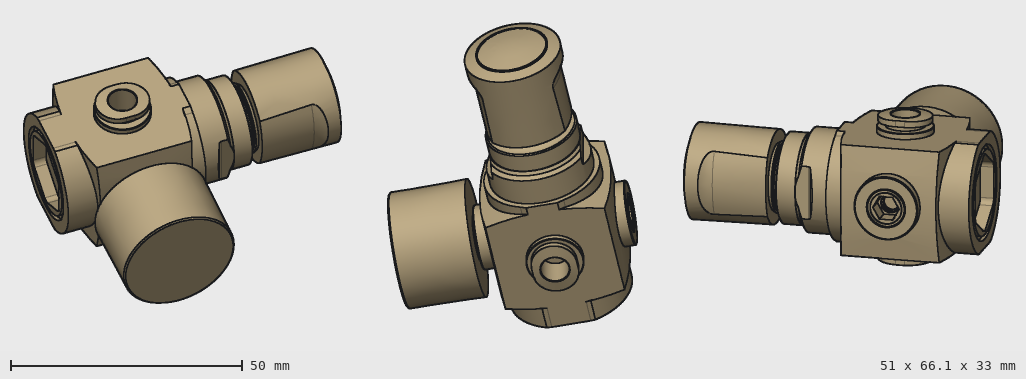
import cadquery as cq
import math


BLOCK_HALF_HEIGHT = 12.5
BLOCK_SIDE_X = 14.5
BLOCK_CORNER_X = 13.1
BLOCK_CORNER_Y = 10.6
BLOCK_END_Y = 12.7

FRONT_Y = -17.65
REAR_Y = 14.4
FRONT_COLLAR_RADIUS = 13.5
FRONT_FLAT_HALF_WIDTH = 4.3
FRONT_SHOULDER_HALF_WIDTH = 5.35
REAR_COLLAR_RADIUS = 12.75
REAR_FLAT_HALF_WIDTH = 3.45
REAR_SHOULDER_HALF_WIDTH = 4.75

FRONT_HEX_FLATS = 15.5
FRONT_HEX_CORNER_RADIUS = 1.65
FRONT_HEX_DEPTH = 3.0
FRONT_HEX_TURN = 30
RING_INNER_DIAMETER = 19.0
RING_OUTER_DIAMETER = 21.0
RING_DEPTH = 1.0

BONNET_RADIUS = 11.5
BONNET_STEP_RADIUS = 9.9
BONNET_CAP_RADIUS = 10.05
BONNET_CONE_START_Y = 20.55
BONNET_BEND_RADIUS = 10.5
BONNET_BEND_Y = 21.2
BONNET_CONE_END_Y = 22.0
BONNET_CAP_Y = 26.2
BONNET_FLAT_X = 9.85
BONNET_FLAT_START_Y = 19.05
BONNET_FLAT_STEP_X = 10.0
BONNET_FLAT_STEP_Y = 18.6
BONNET_FLAT_RUNOUT = 0.8
SHOULDER_RADIUS = 9.65
SHOULDER_Y = 26.4
SHOULDER_CURVE_RADIUS = 8.3
SHOULDER_CURVE_Y = 26.65
NECK_RADIUS = 7.6
NECK_START_Y = 27.25
NECK_GROOVE_RADIUS = 7.4
NECK_GROOVE_START_Y = 27.35
NECK_GROOVE_END_Y = 27.7
NECK_BEAD_RADIUS = 7.85
NECK_BEAD_Y = 27.9
NECK_TOP_RADIUS = 7.4

KNOB_START_Y = 28.7
KNOB_END_Y = 48.45
KNOB_RIM_Y = 46.55
KNOB_RADIUS = 10.6
KNOB_SKIRT_RADIUS = 10.4
KNOB_STRAIGHT_START_Y = 40.65
DOME_GROOVE_RADIUS = 7.75
DOME_GROOVE_WIDTH = 0.25
DOME_GROOVE_DEPTH = 0.2
GRIP_X = 9.45
GRIP_RADIUS = 15.65
GRIP_RUNOUT_RADIUS = 4.4
GRIP_CUT_WIDTH = 2.65

BOSS_RADIUS = 7.1
BOSS_END_X = 16.7
BOSS_CHAMFER = 0.2
PLUG_GROOVE_OUTER_DIAMETER = 8.6
PLUG_GROOVE_INNER_DIAMETER = 8.25
PLUG_GROOVE_DEPTH = 0.3
PLUG_DISH_DIAMETER = 7.0
PLUG_DISH_DEPTH = 0.2
PLUG_HEX_FLATS = 5.1
PLUG_HEX_DEPTH = 3.95
PLUG_BORE_DIAMETER = 4.2
PLUG_BORE_DEPTH = 4.6
PLUG_PILOT_DIAMETER = 3.45
PLUG_PILOT_DEPTH = 5.3

FITTING_TOP_Z = 16.5
FITTING_FLANGE_RADIUS = 6.2
FITTING_FLANGE_TOP_Z = 13.8
FITTING_FLANGE_CHAMFER = 0.1
FITTING_STEM_RADIUS = 4.3
RELEASE_RING_BOTTOM_Z = 14.9
RELEASE_RING_EDGE_Z = 16.1
RELEASE_RING_END_RADIUS = 4.95
RELEASE_RING_LENGTH = 11.9
TUBE_HOLE_DIAMETER = 6.2
TUBE_HOLE_MOUTH_DIAMETER = 6.5
TUBE_HOLE_DEPTH = 6.6

GAUGE_STEM_DIAMETER = 9.7
GAUGE_START_X = 17.25
GAUGE_END_X = 34.3
GAUGE_BACK_RADIUS = 12.95
GAUGE_FACE_RADIUS = 12.75
GAUGE_CHAMFER = 0.3


def turned_about_x(points):
    """Solid of revolution about the X axis from (x, radius) points."""
    return cq.Workplane("XY").polyline(points).close().revolve(360, (0, 0), (1, 0))


def turned_about_z(points):
    """Solid of revolution about the Z axis from (radius, z) points."""
    return cq.Workplane("XZ").polyline(points).close().revolve(360, (0, 0), (0, 1))


def hexagon_diameter(across_flats):
    return across_flats / math.cos(math.pi / 6)


def make_block():
    """Cube-like core with outward-bulged ends and sides and flat top and bottom."""
    end_bulge = (
        cq.Workplane("XY")
        .workplane(offset=-BLOCK_HALF_HEIGHT)
        .moveTo(-BLOCK_SIDE_X, -BLOCK_CORNER_Y)
        .threePointArc((0, -BLOCK_END_Y), (BLOCK_SIDE_X, -BLOCK_CORNER_Y))
        .lineTo(BLOCK_SIDE_X, BLOCK_CORNER_Y)
        .threePointArc((0, BLOCK_END_Y), (-BLOCK_SIDE_X, BLOCK_CORNER_Y))
        .close()
        .extrude(2 * BLOCK_HALF_HEIGHT)
    )
    side_bulge = (
        cq.Workplane("XZ")
        .moveTo(-BLOCK_CORNER_X, BLOCK_HALF_HEIGHT)
        .lineTo(BLOCK_CORNER_X, BLOCK_HALF_HEIGHT)
        .threePointArc((BLOCK_SIDE_X, 0), (BLOCK_CORNER_X, -BLOCK_HALF_HEIGHT))
        .lineTo(-BLOCK_CORNER_X, -BLOCK_HALF_HEIGHT)
        .threePointArc((-BLOCK_SIDE_X, 0), (-BLOCK_CORNER_X, BLOCK_HALF_HEIGHT))
        .close()
        .extrude(BLOCK_END_Y, both=True)
    )
    return end_bulge.intersect(side_bulge)


def make_collar(radius, flat_half_width, shoulder_half_width, end_y):
    """Round collar with a bevelled flat on top and bottom, from the block centre to end_y."""
    flat_z = BLOCK_HALF_HEIGHT
    shoulder_z = math.sqrt(radius**2 - shoulder_half_width**2)
    return (
        cq.Workplane("XZ")
        .moveTo(-flat_half_width, flat_z)
        .lineTo(flat_half_width, flat_z)
        .lineTo(shoulder_half_width, shoulder_z)
        .threePointArc((radius, 0), (shoulder_half_width, -shoulder_z))
        .lineTo(flat_half_width, -flat_z)
        .lineTo(-flat_half_width, -flat_z)
        .lineTo(-shoulder_half_width, -shoulder_z)
        .threePointArc((-radius, 0), (-shoulder_half_width, shoulder_z))
        .close()
        .extrude(-end_y)
    )


def cut_front_recess(body):
    """Round-cornered hexagon pocket with a ring groove around it."""
    front = cq.Workplane("XZ", origin=(0, FRONT_Y, 0))
    pocket = (
        front.polygon(6, hexagon_diameter(FRONT_HEX_FLATS))
        .extrude(-FRONT_HEX_DEPTH)
        .edges("|Y")
        .fillet(FRONT_HEX_CORNER_RADIUS)
        .rotate((0, 0, 0), (0, 1, 0), FRONT_HEX_TURN)
    )
    groove = front.circle(RING_OUTER_DIAMETER / 2).circle(RING_INNER_DIAMETER / 2).extrude(-RING_DEPTH)
    return body.cut(pocket).cut(groove)


def make_bonnet():
    """Stepped bonnet with two wrench flats and a necked end."""
    bonnet = (
        cq.Workplane("XY")
        .lineTo(BONNET_RADIUS, 0)
        .lineTo(BONNET_RADIUS, BONNET_CONE_START_Y)
        .lineTo(BONNET_BEND_RADIUS, BONNET_BEND_Y)
        .lineTo(BONNET_STEP_RADIUS, BONNET_CONE_END_Y)
        .lineTo(BONNET_CAP_RADIUS, BONNET_CONE_END_Y)
        .lineTo(BONNET_CAP_RADIUS, BONNET_CAP_Y)
        .lineTo(SHOULDER_RADIUS, SHOULDER_Y)
        .threePointArc((SHOULDER_CURVE_RADIUS, SHOULDER_CURVE_Y), (NECK_RADIUS, NECK_START_Y))
        .lineTo(NECK_GROOVE_RADIUS, NECK_GROOVE_START_Y)
        .lineTo(NECK_GROOVE_RADIUS, NECK_GROOVE_END_Y)
        .lineTo(NECK_BEAD_RADIUS, NECK_BEAD_Y)
        .lineTo(NECK_TOP_RADIUS, KNOB_START_Y)
        .lineTo(0, KNOB_START_Y)
        .close()
        .revolve(360, (0, 0), (0, 1))
    )
    for side in (-1, 1):
        wrench_flat = (
            cq.Workplane("XY")
            .workplane(offset=-BONNET_RADIUS)
            .polyline([
                (side * BONNET_FLAT_X, BONNET_CONE_END_Y),
                (side * BONNET_FLAT_X, BONNET_FLAT_START_Y),
                (side * BONNET_FLAT_STEP_X, BONNET_FLAT_STEP_Y),
                (side * BONNET_RADIUS, BONNET_FLAT_STEP_Y - BONNET_FLAT_RUNOUT),
                (side * BONNET_RADIUS, BONNET_CONE_END_Y),
            ])
            .close()
            .extrude(2 * BONNET_RADIUS)
        )
        bonnet = bonnet.cut(wrench_flat)
    return bonnet


def make_side_bosses():
    """Round bosses on both ends of the X axis."""
    bosses = cq.Workplane("YZ").circle(BOSS_RADIUS).extrude(BOSS_END_X, both=True)
    return bosses.faces("<X or >X").chamfer(BOSS_CHAMFER)


def cut_plug_socket(body):
    """Hexagon socket, dished rim and seam groove in the boss on the -X side."""
    face = cq.Workplane("YZ", origin=(-BOSS_END_X, 0, 0))
    groove = (
        face.circle(PLUG_GROOVE_OUTER_DIAMETER / 2)
        .circle(PLUG_GROOVE_INNER_DIAMETER / 2)
        .extrude(PLUG_GROOVE_DEPTH)
    )
    dish = face.circle(PLUG_DISH_DIAMETER / 2).extrude(PLUG_DISH_DEPTH)
    socket = face.polygon(6, hexagon_diameter(PLUG_HEX_FLATS)).extrude(PLUG_HEX_DEPTH)
    bore = face.circle(PLUG_BORE_DIAMETER / 2).extrude(PLUG_BORE_DEPTH)
    pilot = face.circle(PLUG_PILOT_DIAMETER / 2).extrude(PLUG_PILOT_DEPTH)
    return body.cut(groove).cut(dish).cut(socket).cut(bore).cut(pilot)


def make_fitting():
    """Flange, stem and oblong release ring standing on the top face."""
    flange_and_stem = turned_about_z([
        (0, 0),
        (FITTING_FLANGE_RADIUS, 0),
        (FITTING_FLANGE_RADIUS, FITTING_FLANGE_TOP_Z - FITTING_FLANGE_CHAMFER),
        (FITTING_FLANGE_RADIUS - FITTING_FLANGE_CHAMFER, FITTING_FLANGE_TOP_Z),
        (FITTING_STEM_RADIUS, FITTING_FLANGE_TOP_Z),
        (FITTING_STEM_RADIUS, RELEASE_RING_BOTTOM_Z),
        (0, RELEASE_RING_BOTTOM_Z),
    ])
    release_ring = (
        cq.Workplane("XY")
        .workplane(offset=RELEASE_RING_BOTTOM_Z)
        .slot2D(RELEASE_RING_LENGTH, 2 * RELEASE_RING_END_RADIUS, 90)
        .extrude(FITTING_TOP_Z - RELEASE_RING_BOTTOM_Z)
    )
    crown = turned_about_z([
        (0, RELEASE_RING_BOTTOM_Z),
        (RELEASE_RING_LENGTH / 2, RELEASE_RING_BOTTOM_Z),
        (RELEASE_RING_LENGTH / 2, RELEASE_RING_EDGE_Z),
        (TUBE_HOLE_MOUTH_DIAMETER / 2, FITTING_TOP_Z),
        (0, FITTING_TOP_Z),
    ])
    return flange_and_stem.union(release_ring.intersect(crown))


def make_tube_hole():
    """Blind hole with a chamfered mouth, as a cutting tool for the top fitting."""
    radius = TUBE_HOLE_DIAMETER / 2
    mouth_radius = TUBE_HOLE_MOUTH_DIAMETER / 2
    return turned_about_z([
        (0, FITTING_TOP_Z - TUBE_HOLE_DEPTH),
        (radius, FITTING_TOP_Z - TUBE_HOLE_DEPTH),
        (radius, FITTING_TOP_Z - (mouth_radius - radius)),
        (mouth_radius, FITTING_TOP_Z),
        (0, FITTING_TOP_Z),
    ])


def make_housing():
    """Block with its collars, bonnet, side bosses and tube fittings."""
    front_collar = make_collar(
        FRONT_COLLAR_RADIUS, FRONT_FLAT_HALF_WIDTH, FRONT_SHOULDER_HALF_WIDTH, FRONT_Y
    )
    rear_collar = make_collar(
        REAR_COLLAR_RADIUS, REAR_FLAT_HALF_WIDTH, REAR_SHOULDER_HALF_WIDTH, REAR_Y
    )
    body = make_block().union(front_collar).union(rear_collar)
    body = body.union(make_bonnet()).union(make_side_bosses())
    for turn in (0, 180):
        body = body.union(make_fitting().rotate((0, 0, 0), (0, 1, 0), turn))
        body = body.cut(make_tube_hole().rotate((0, 0, 0), (0, 1, 0), turn))
    return cut_plug_socket(cut_front_recess(body))


def make_grip_cutter():
    """Ring that hollows the -X side of the knob, running out in a concave curve."""
    axis_x = GRIP_RADIUS - GRIP_X
    crest_x = -GRIP_X
    outer_x = crest_x - GRIP_CUT_WIDTH
    end_angle = math.acos(1 - GRIP_CUT_WIDTH / GRIP_RUNOUT_RADIUS)

    def runout_point(angle):
        return (
            crest_x - GRIP_RUNOUT_RADIUS * (1 - math.cos(angle)),
            KNOB_STRAIGHT_START_Y + GRIP_RUNOUT_RADIUS * math.sin(angle),
        )

    return (
        cq.Workplane("XY")
        .moveTo(outer_x, KNOB_START_Y)
        .lineTo(crest_x, KNOB_START_Y)
        .lineTo(crest_x, KNOB_STRAIGHT_START_Y)
        .threePointArc(runout_point(end_angle / 2), runout_point(end_angle))
        .close()
        .revolve(360, (axis_x, 0), (axis_x, 1))
    )


def make_knob():
    """Slightly flared round knob with a domed, ringed end and two hollowed grip sides."""
    dome_rise = KNOB_END_Y - KNOB_RIM_Y
    dome_radius = (KNOB_RADIUS**2 + dome_rise**2) / (2 * dome_rise)

    def dome_y(radius):
        return KNOB_END_Y - dome_radius + math.sqrt(dome_radius**2 - radius**2)

    middle_radius = KNOB_RADIUS / 2
    knob = (
        cq.Workplane("XY")
        .moveTo(0, KNOB_START_Y)
        .lineTo(KNOB_SKIRT_RADIUS, KNOB_START_Y)
        .lineTo(KNOB_RADIUS, KNOB_RIM_Y)
        .threePointArc((middle_radius, dome_y(middle_radius)), (0, KNOB_END_Y))
        .close()
        .revolve(360, (0, 0), (0, 1))
    )
    groove_floor_y = dome_y(DOME_GROOVE_RADIUS) - DOME_GROOVE_DEPTH
    dome_groove = (
        cq.Workplane("XZ", origin=(0, groove_floor_y, 0))
        .circle(DOME_GROOVE_RADIUS + DOME_GROOVE_WIDTH / 2)
        .circle(DOME_GROOVE_RADIUS - DOME_GROOVE_WIDTH / 2)
        .extrude(groove_floor_y - KNOB_END_Y)
    )
    knob = knob.cut(dome_groove)
    for turn in (0, 180):
        knob = knob.cut(make_grip_cutter().rotate((0, 0, 0), (0, 1, 0), turn))
    return knob


def make_gauge():
    """Round, slightly tapered gauge on a short stem that meets the +X boss."""
    return turned_about_x([
        (BOSS_END_X, 0),
        (BOSS_END_X, GAUGE_STEM_DIAMETER / 2),
        (GAUGE_START_X, GAUGE_STEM_DIAMETER / 2),
        (GAUGE_START_X, GAUGE_BACK_RADIUS),
        (GAUGE_END_X - GAUGE_CHAMFER, GAUGE_FACE_RADIUS),
        (GAUGE_END_X, GAUGE_FACE_RADIUS - GAUGE_CHAMFER),
        (GAUGE_END_X, 0),
    ])


housing = make_housing()
knob = make_knob()
gauge = make_gauge()

result = cq.Compound.makeCompound([housing.val(), knob.val(), gauge.val()])